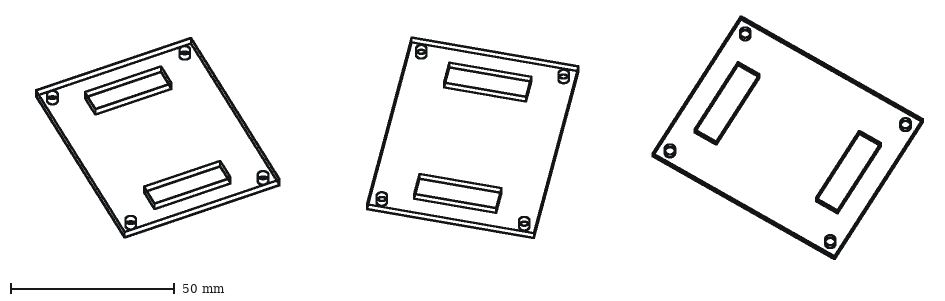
import cadquery as cq

length = 64.8
width = 52.1
thickness = 2.5

hole_diameter = 3.3
hole_inset = 3.8

window_length_x = 7.7
window_length_y = 25.6
window_spacing = 43.2

plate = cq.Workplane("XY").box(length, width, thickness)

drilled_plate = (
    plate.faces(">Z").workplane()
    .rarray(length - 2 * hole_inset, width - 2 * hole_inset, 2, 2)
    .hole(hole_diameter)
)

result = (
    drilled_plate.faces(">Z").workplane(origin=(0, 0, 0))
    .pushPoints([(-window_spacing / 2, 0), (window_spacing / 2, 0)])
    .rect(window_length_x, window_length_y)
    .cutThruAll()
)